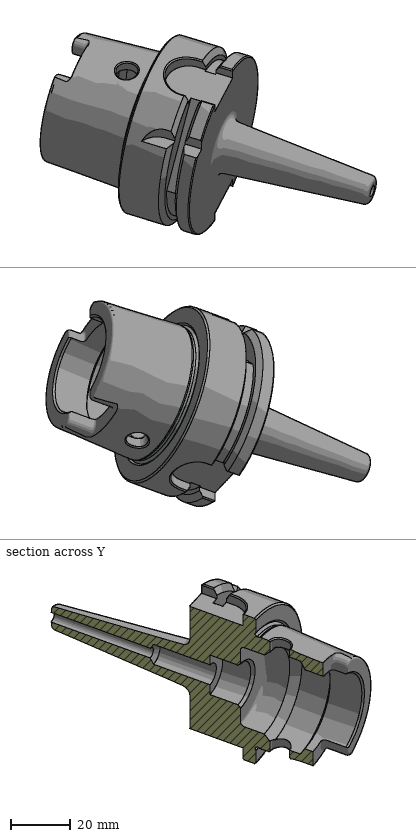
import cadquery as cq
import math


SHANK_FRONT = -32.0
GAUGE_X = -6.3
GAUGE_RADIUS = 24.0
TAPER_SLOPE = 1 / 20
MOUTH_FILLET = 1.0
NECK_START = -2.0
NECK_LAND_START = -1.4
NECK_LAND_END = -1.05
NECK_RADIUS = 48.04 / 2
UNDERCUT_END = -0.4
UNDERCUT_RADIUS = 23.85
RELIEF_DEPTH = 0.5
RELIEF_INNER_RADIUS = 24.7
RELIEF_OUTER_RADIUS = 25.4

FLANGE_RADIUS = 63 / 2
FLANGE_END = 26.0
FLANGE_FRONT_CHAMFER = 0.6
FLANGE_BACK_CHAMFER = 0.4
GROOVE_CENTER = 18.125
GROOVE_FLOOR_WIDTH = 3.75
GROOVE_RADIUS = 27.5
GROOVE_SHOULDER_RADIUS = 29.1
GROOVE_HALF_ANGLE = math.radians(30)
GROOVE_FLAT_DISTANCE = 21.8
GROOVE_FLAT_ANGLE = 42

TIP_X = 80.0
TIP_RADIUS = 10 / 2
NOSE_ANGLE = math.radians(4.5)
NOSE_FILLET = 3.0
TIP_FILLET = 1.8

BORE_RADIUS = 34 / 2
BORE_MOUTH_CHAMFER = 0.65
CLAMP_RADIUS = 40 / 2
CLAMP_GAUGE_X = -18.13
CLAMP_GAUGE_RADIUS = 37 / 2
CLAMP_SLOPE = math.tan(math.radians(60))
CLAMP_END = -6.2
BORE_FLOOR = 6.0
BORE_FLOOR_FILLET = 1.4
THREAD_RADIUS = 16.92 / 2
THREAD_MOUTH_RADIUS = 19.02 / 2
THREAD_END = 18.0
COOLANT_RADIUS = 8.4 / 2
COOLANT_END = 40.0
DRILL_HALF_ANGLE = math.radians(59)
TOOL_RADIUS = 3.99 / 2

SLOT_WIDTH = 12.54
SLOT_FLARE_RADIUS = 2.8
SLOT_FLARE_HEIGHT = 20.7
SLOT_FLOOR_FILLET = 1.4
TOP_SLOT_DEPTH = 5.8
BOTTOM_SLOT_DEPTH = 9.8

CROSS_HOLE_X = -9.25
CROSS_HOLE_RADIUS = 7.5 / 2
CROSS_HOLE_MOUTH_RADIUS = 8.4 / 2

KEYWAY_RADIUS = 8.0
KEYWAY_CENTER_X = 13.2
KEYWAY_FLOOR = 26.5
KEYWAY_CHAMFER = 0.5
NOTCH_RADIUS = 8.0
NOTCH_CENTER_X = 13.0
NOTCH_OFFSET = 20.0

SIDES = (1, -1)
CLEARANCE = 5.0
PICK_MARGIN = 0.2


def taper_radius(x):
    return GAUGE_RADIUS + TAPER_SLOPE * (x - GAUGE_X)


def nose_radius(x):
    return TIP_RADIUS + math.tan(NOSE_ANGLE) * (TIP_X - x)


def revolve(outline):
    """Turn a closed (x, radius) outline about the X axis."""
    return outline.revolve(360, (0, 0, 0), (1, 0, 0))


def revolve_points(points):
    return revolve(cq.Workplane("XY").polyline(points).close())


def box_edges(low, high):
    """Selector for edges lying wholly inside the box between two corners."""
    return cq.selectors.BoxSelector(low, high, boundingbox=True)


def make_shank():
    outline = [
        (SHANK_FRONT, 0),
        (SHANK_FRONT, taper_radius(SHANK_FRONT)),
        (NECK_START, taper_radius(NECK_START)),
        (NECK_LAND_START, NECK_RADIUS),
        (NECK_LAND_END, NECK_RADIUS),
        (UNDERCUT_END, UNDERCUT_RADIUS),
        (RELIEF_DEPTH, RELIEF_INNER_RADIUS),
        (RELIEF_DEPTH, 0),
    ]
    return revolve_points(outline)


def make_flange():
    v_width = (FLANGE_RADIUS - GROOVE_SHOULDER_RADIUS) * math.tan(GROOVE_HALF_ANGLE)
    groove_left = GROOVE_CENTER - GROOVE_FLOOR_WIDTH / 2
    groove_right = GROOVE_CENTER + GROOVE_FLOOR_WIDTH / 2
    outline = [
        (RELIEF_DEPTH, 0),
        (RELIEF_DEPTH, RELIEF_INNER_RADIUS),
        (0, RELIEF_OUTER_RADIUS),
        (0, FLANGE_RADIUS - FLANGE_FRONT_CHAMFER),
        (FLANGE_FRONT_CHAMFER, FLANGE_RADIUS),
        (groove_left - v_width, FLANGE_RADIUS),
        (groove_left, GROOVE_SHOULDER_RADIUS),
        (groove_left, GROOVE_RADIUS),
        (groove_right, GROOVE_RADIUS),
        (groove_right, GROOVE_SHOULDER_RADIUS),
        (groove_right + v_width, FLANGE_RADIUS),
        (FLANGE_END - FLANGE_BACK_CHAMFER, FLANGE_RADIUS),
        (FLANGE_END, FLANGE_RADIUS - FLANGE_BACK_CHAMFER),
        (FLANGE_END, 0),
    ]
    return revolve_points(outline)


def make_nose():
    outline = [(FLANGE_END, 0), (FLANGE_END, nose_radius(FLANGE_END)), (TIP_X, TIP_RADIUS), (TIP_X, 0)]
    nose = revolve_points(outline)
    return nose.faces(">X").edges().fillet(TIP_FILLET)


def make_nose_root_fillet():
    """Ring blending the nose cone into the flange end face."""
    center_x = FLANGE_END + NOSE_FILLET
    center_r = nose_radius(center_x) + NOSE_FILLET / math.cos(NOSE_ANGLE)
    tangent_x = center_x - NOSE_FILLET * math.sin(NOSE_ANGLE)
    tangent_r = center_r - NOSE_FILLET * math.cos(NOSE_ANGLE)
    middle_angle = (math.pi / 2 - NOSE_ANGLE) / 2
    middle_x = center_x - NOSE_FILLET * math.cos(middle_angle)
    middle_r = center_r - NOSE_FILLET * math.sin(middle_angle)
    outline = (
        cq.Workplane("XY")
        .moveTo(FLANGE_END, 0)
        .lineTo(FLANGE_END, center_r)
        .threePointArc((middle_x, middle_r), (tangent_x, tangent_r))
        .lineTo(tangent_x, 0)
        .close()
    )
    return revolve(outline)


def make_bores():
    clamp_start = CLAMP_GAUGE_X - (CLAMP_GAUGE_RADIUS - BORE_RADIUS) / CLAMP_SLOPE
    clamp_full = CLAMP_GAUGE_X + (CLAMP_RADIUS - CLAMP_GAUGE_RADIUS) / CLAMP_SLOPE
    cavity_outline = [
        (SHANK_FRONT, 0),
        (SHANK_FRONT, BORE_RADIUS + BORE_MOUTH_CHAMFER),
        (SHANK_FRONT + BORE_MOUTH_CHAMFER, BORE_RADIUS),
        (clamp_start, BORE_RADIUS),
        (clamp_full, CLAMP_RADIUS),
        (CLAMP_END, CLAMP_RADIUS),
        (CLAMP_END + CLAMP_RADIUS - BORE_RADIUS, BORE_RADIUS),
        (BORE_FLOOR, BORE_RADIUS),
        (BORE_FLOOR, 0),
    ]
    cavity = revolve_points(cavity_outline)
    cavity = cavity.faces(">X").edges().fillet(BORE_FLOOR_FILLET)

    cone_length = (COOLANT_RADIUS - TOOL_RADIUS) / math.tan(DRILL_HALF_ANGLE)
    channel_outline = [
        (BORE_FLOOR, 0),
        (BORE_FLOOR, THREAD_MOUTH_RADIUS),
        (BORE_FLOOR + THREAD_MOUTH_RADIUS - THREAD_RADIUS, THREAD_RADIUS),
        (THREAD_END, THREAD_RADIUS),
        (THREAD_END, COOLANT_RADIUS),
        (COOLANT_END, COOLANT_RADIUS),
        (COOLANT_END + cone_length, TOOL_RADIUS),
        (TIP_X, TOOL_RADIUS),
        (TIP_X, 0),
    ]
    channel = revolve_points(channel_outline)
    return cavity.union(channel)


def make_drive_slot(depth, side):
    """Open slot through the shank wall; side is +1 for +Z, -1 for -Z."""
    half = SLOT_WIDTH / 2
    flare_base = SLOT_FLARE_HEIGHT - SLOT_FLARE_RADIUS
    flare_edge = half + SLOT_FLARE_RADIUS
    outside = GAUGE_RADIUS + CLEARANCE
    diagonal = SLOT_FLARE_RADIUS * math.sqrt(0.5)
    outline = (
        cq.Workplane("YZ", origin=(SHANK_FRONT - CLEARANCE, 0, 0))
        .moveTo(-half, 0)
        .lineTo(-half, side * flare_base)
        .threePointArc(
            (-flare_edge + diagonal, side * (flare_base + diagonal)),
            (-flare_edge, side * SLOT_FLARE_HEIGHT),
        )
        .lineTo(-outside, side * SLOT_FLARE_HEIGHT)
        .lineTo(-outside, side * outside)
        .lineTo(outside, side * outside)
        .lineTo(outside, side * SLOT_FLARE_HEIGHT)
        .lineTo(flare_edge, side * SLOT_FLARE_HEIGHT)
        .threePointArc(
            (flare_edge - diagonal, side * (flare_base + diagonal)),
            (half, side * flare_base),
        )
        .lineTo(half, 0)
        .close()
    )
    slot = outline.extrude(depth + CLEARANCE)
    return slot.faces(">X").edges().fillet(SLOT_FLOOR_FILLET)


def cut_cross_hole(body):
    """Hole along Z through both shank walls, chamfered at each outer end."""
    length = 2 * (GAUGE_RADIUS + CLEARANCE)
    drill = cq.Workplane("XY", origin=(CROSS_HOLE_X, 0, -length / 2))
    drill = drill.circle(CROSS_HOLE_RADIUS).extrude(length)
    reach = CROSS_HOLE_RADIUS + PICK_MARGIN
    rims = [
        box_edges(
            (CROSS_HOLE_X - reach, -reach, side * (CLAMP_RADIUS + PICK_MARGIN)),
            (CROSS_HOLE_X + reach, reach, side * (GAUGE_RADIUS + PICK_MARGIN)),
        )
        for side in SIDES
    ]
    return body.cut(drill).edges(rims[0] + rims[1]).chamfer(CROSS_HOLE_MOUTH_RADIUS - CROSS_HOLE_RADIUS)


def cut_keyway(flange, side):
    """Round-ended keyway open to the flange end, with its rim chamfered."""
    end = FLANGE_END + CLEARANCE
    outline = (
        cq.Workplane("XY", origin=(0, 0, side * KEYWAY_FLOOR))
        .moveTo(end, KEYWAY_RADIUS)
        .lineTo(KEYWAY_CENTER_X, KEYWAY_RADIUS)
        .threePointArc((KEYWAY_CENTER_X - KEYWAY_RADIUS, 0), (KEYWAY_CENTER_X, -KEYWAY_RADIUS))
        .lineTo(end, -KEYWAY_RADIUS)
        .close()
    )
    flange = flange.cut(outline.extrude(side * FLANGE_RADIUS))
    rim_height = math.sqrt(FLANGE_RADIUS**2 - KEYWAY_RADIUS**2)
    reach = KEYWAY_RADIUS + PICK_MARGIN
    rim = box_edges(
        (KEYWAY_CENTER_X - reach, -reach, side * (rim_height - PICK_MARGIN)),
        (FLANGE_END, reach, side * (FLANGE_RADIUS + PICK_MARGIN)),
    )
    return flange.edges(rim).chamfer(KEYWAY_CHAMFER)


def make_orientation_notch():
    """Notch with an upward floor and an end-milled wall on the -Y, +Z side."""
    end = FLANGE_END + CLEARANCE
    outer_y = -NOTCH_OFFSET - 2 * NOTCH_RADIUS
    outline = (
        cq.Workplane("XY", origin=(0, 0, NOTCH_OFFSET))
        .moveTo(end, -NOTCH_OFFSET)
        .lineTo(NOTCH_CENTER_X, -NOTCH_OFFSET)
        .threePointArc(
            (NOTCH_CENTER_X - NOTCH_RADIUS, -NOTCH_OFFSET - NOTCH_RADIUS),
            (NOTCH_CENTER_X, outer_y),
        )
        .lineTo(end, outer_y)
        .close()
    )
    return outline.extrude(FLANGE_RADIUS)


def make_groove_flat():
    """Block that flattens the gripper groove floor between the keyway and the -Y side."""
    depth = FLANGE_RADIUS - GROOVE_FLAT_DISTANCE + CLEARANCE
    block = cq.Workplane("XY").box(GROOVE_FLOOR_WIDTH, depth, 2 * FLANGE_RADIUS)
    block = block.translate((GROOVE_CENTER, -GROOVE_FLAT_DISTANCE - depth / 2, 0))
    return block.rotate((0, 0, 0), (1, 0, 0), -GROOVE_FLAT_ANGLE)


def finish_shank():
    """Shank with a straight pilot bore, both drive slots and a rounded mouth."""
    pilot = cq.Workplane("YZ", origin=(SHANK_FRONT, 0, 0))
    pilot = pilot.circle(BORE_RADIUS).extrude(BORE_FLOOR - SHANK_FRONT)
    shank = make_shank().cut(pilot)
    shank = shank.cut(make_drive_slot(TOP_SLOT_DEPTH, 1))
    shank = shank.cut(make_drive_slot(BOTTOM_SLOT_DEPTH, -1))

    def off_bore(edge):
        return edge.geomType() != "CIRCLE" or abs(edge.radius() - BORE_RADIUS) > PICK_MARGIN

    return shank.faces("<X").edges().filter(off_bore).fillet(MOUTH_FILLET)


def finish_flange():
    flange = make_flange()
    for side in SIDES:
        flange = cut_keyway(flange, side)
    return flange.cut(make_orientation_notch()).cut(make_groove_flat())


body = finish_flange().union(finish_shank()).union(make_nose()).union(make_nose_root_fillet())
result = cut_cross_hole(body.cut(make_bores()))